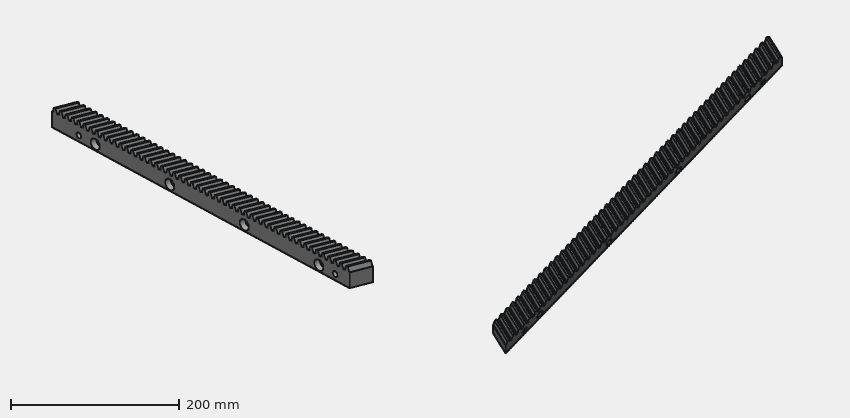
import cadquery as cq
import math

bar_width = 29.0
bar_height = 29.0
overall_length = 509.6

normal_module = 3.0
tooth_pitch = 10.0
tooth_count = 50
helix_angle = math.acos(math.pi * normal_module / tooth_pitch)
normal_pressure_angle = math.radians(20.0)
flank_slope = math.tan(normal_pressure_angle) / math.cos(helix_angle)
addendum = normal_module
dedendum = 1.25 * normal_module
tip_z = bar_height
root_z = bar_height - addendum - dedendum
tip_half_width = tooth_pitch / 4 - addendum * flank_slope
root_half_width = tooth_pitch / 4 + dedendum * flank_slope

helix_shift = bar_width * math.tan(helix_angle)
face_length = overall_length - helix_shift

hole_height = 9.0
hole_middle_x = helix_shift + face_length / 2
screw_count = 4
screw_spacing = 125.0
screw_diameter = 10.0
counterbore_diameter = 15.0
counterbore_depth = 9.0
dowel_spacing = 430.0
dowel_diameter = 7.7


def centred_positions(count, spacing, middle):
    """Return evenly spaced positions about a middle value."""
    first = middle - spacing * (count - 1) / 2
    return [first + index * spacing for index in range(count)]


def toothed_bar():
    """Extrude the toothed front profile along the helix direction."""
    outline = [(0, 0), (0, root_z)]
    for tooth_x in centred_positions(tooth_count, tooth_pitch, face_length / 2):
        outline += [
            (tooth_x - root_half_width, root_z),
            (tooth_x - tip_half_width, tip_z),
            (tooth_x + tip_half_width, tip_z),
            (tooth_x + root_half_width, root_z),
        ]
    outline += [(face_length, root_z), (face_length, 0)]
    profile = cq.Workplane("XZ").polyline(outline).close().val()
    helix_direction = cq.Vector(helix_shift, bar_width, 0)
    return cq.Workplane(cq.Solid.extrudeLinear(profile, [], helix_direction))


def cross_holes(x_positions, diameter, depth):
    """Return cylinders that enter the bar from its front face."""
    centres = [(x, hole_height) for x in x_positions]
    return cq.Workplane("XZ").pushPoints(centres).circle(diameter / 2).extrude(-depth)


screw_positions = centred_positions(screw_count, screw_spacing, hole_middle_x)
dowel_positions = centred_positions(2, dowel_spacing, hole_middle_x)

result = (
    toothed_bar()
    .cut(cross_holes(screw_positions, screw_diameter, bar_width))
    .cut(cross_holes(screw_positions, counterbore_diameter, counterbore_depth))
    .cut(cross_holes(dowel_positions, dowel_diameter, bar_width))
)